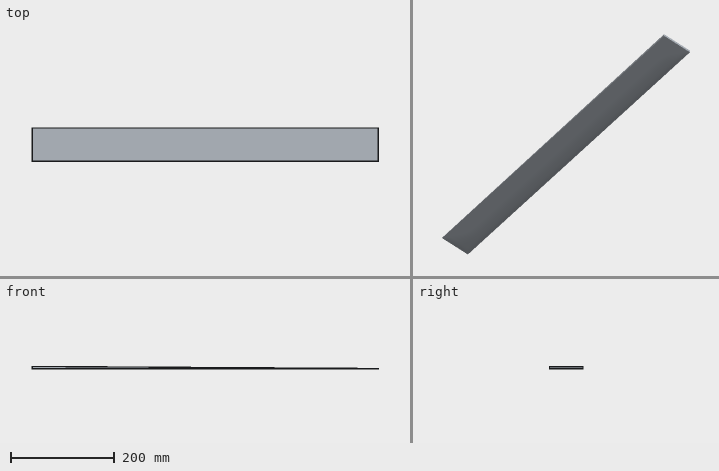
import cadquery as cq

length = 668.0
width = 65.0
thick_end = 5.0
thin_end = 1.0

profile = [
    (0, 0),
    (length, 0),
    (length, thin_end),
    (0, thick_end),
]

result = cq.Workplane("XZ").polyline(profile).close().extrude(-width)